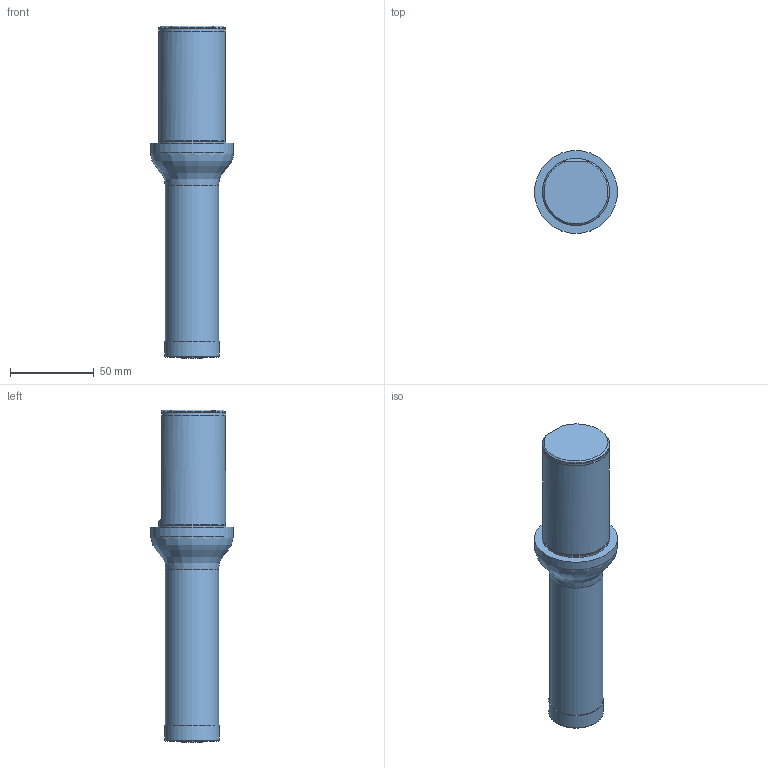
import cadquery as cq

total_length = 198.0
shank_length = 70.0
head_length = 10.0
collar_face_z = total_length - shank_length

shank_radius = 39.99 / 2
groove_radius = 39.5 / 2
top_chamfer = 0.9
rim_depth = 1.2
groove_top_depth = 1.7
groove_bottom_depth = 3.0
lower_groove_height = 1.1
lower_groove_width = 0.6

flat_y = 18.0
flat_end_height = 5.6
cut_clearance = 1.0

collar_radius = 49.5 / 2
collar_height = 5.5
body_radius = 31.8 / 2
flare_end_depth = 25.2
flare_middle_radius = 19.7
flare_middle_depth = 16.0

head_radius = 32.8 / 2
head_chamfer = 0.6
tip_radius = 6.0
tip_height = 0.5


def make_holder():
    """Shank, collar, flare and body turned in one piece, with the clamping flat cut away."""
    flare_bottom = (body_radius, collar_face_z - flare_end_depth)
    flare_middle = (flare_middle_radius, collar_face_z - flare_middle_depth)
    flare_top = (collar_radius, collar_face_z - collar_height)
    lower_groove_z = collar_face_z + lower_groove_height
    turned = (
        cq.Workplane("XZ")
        .moveTo(0, head_length)
        .lineTo(body_radius, head_length)
        .lineTo(*flare_bottom)
        .spline([flare_middle, flare_top], tangents=[(0, 1), (0, 1)], includeCurrent=True)
        .lineTo(collar_radius, collar_face_z)
        .lineTo(shank_radius, collar_face_z)
        .lineTo(shank_radius, lower_groove_z)
        .lineTo(groove_radius, lower_groove_z)
        .lineTo(groove_radius, lower_groove_z + lower_groove_width)
        .lineTo(shank_radius, lower_groove_z + lower_groove_width)
        .lineTo(shank_radius, total_length - groove_bottom_depth)
        .lineTo(groove_radius, total_length - groove_bottom_depth)
        .lineTo(groove_radius, total_length - groove_top_depth)
        .lineTo(shank_radius, total_length - rim_depth)
        .lineTo(shank_radius, total_length - top_chamfer)
        .lineTo(shank_radius - top_chamfer, total_length)
        .lineTo(0, total_length)
        .close()
        .revolve(360, (0, 0), (0, 1))
    )
    flat_end_z = collar_face_z + flat_end_height
    cut_y = shank_radius + cut_clearance
    cut_depth = cut_y - flat_y
    flat_cut = (
        cq.Workplane("YZ")
        .moveTo(flat_y, flat_end_z)
        .lineTo(cut_y, flat_end_z - cut_depth)
        .lineTo(cut_y, total_length)
        .lineTo(flat_y, total_length)
        .close()
        .extrude(shank_radius, both=True)
    )
    return turned.cut(flat_cut)


def make_cutting_head():
    """Slightly wider disc below the body, with a chamfered lower edge and a small round tip."""
    return (
        cq.Workplane("XZ")
        .moveTo(0, 0)
        .lineTo(tip_radius, 0)
        .lineTo(tip_radius, tip_height)
        .lineTo(head_radius - head_chamfer, tip_height)
        .lineTo(head_radius, tip_height + head_chamfer)
        .lineTo(head_radius, head_length)
        .lineTo(0, head_length)
        .close()
        .revolve(360, (0, 0), (0, 1))
    )


holder = make_holder()
cutting_head = make_cutting_head()
result = cq.Compound.makeCompound([holder.val(), cutting_head.val()])